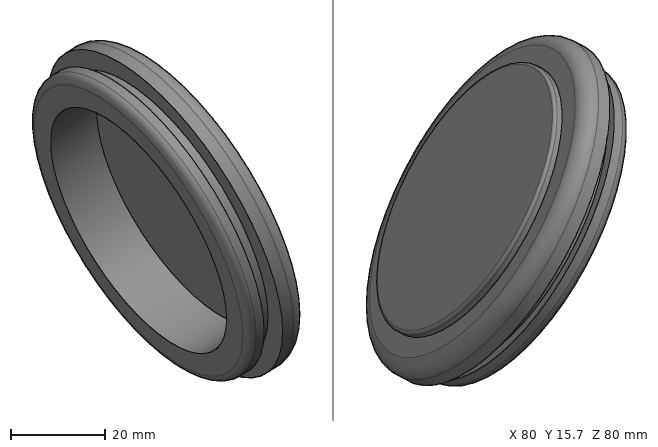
import cadquery as cq

flange_radius = 40.0
lip_radius = 37.5
groove_radius = 35.0
boss_radius = 31.8
bore_radius = 30.0

lip_width = 4.2
groove_width = 3.0
flange_width = 6.5
boss_height = 2.0
bore_depth = 12.5

lip_round = 2.0
flange_round = 3.5
boss_round = 0.7


def disc(radius, front, width):
    """Disc about the Y axis, reaching from `front` toward +Y."""
    return cq.Workplane("XZ", origin=(0, front, 0)).circle(radius).extrude(-width)


groove_front = lip_width
flange_front = groove_front + groove_width
boss_front = flange_front + flange_width

lip = disc(lip_radius, 0, lip_width).faces("<Y").edges().fillet(lip_round)
groove = disc(groove_radius, groove_front, groove_width)
flange = disc(flange_radius, flange_front, flange_width).faces(">Y").edges().fillet(flange_round)
boss = disc(boss_radius, boss_front, boss_height).faces(">Y").edges().fillet(boss_round)

bore = disc(bore_radius, 0, bore_depth)

result = lip.union(groove).union(flange).union(boss).cut(bore)